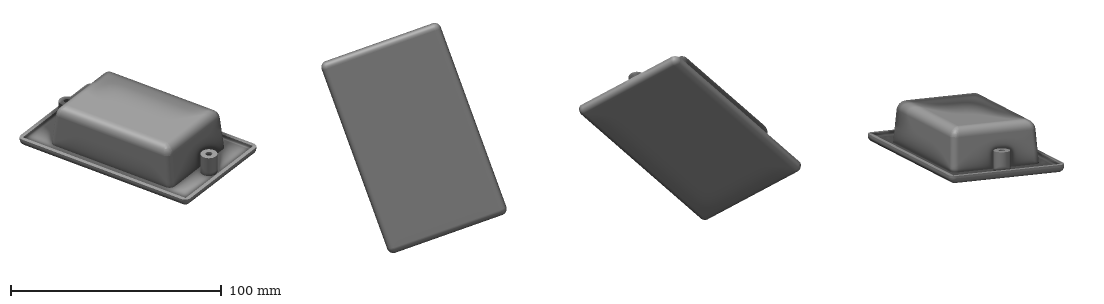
import cadquery as cq
import math

plate_length = 98.0
plate_width = 60.0
plate_thickness = 4.0
plate_corner_radius = 3.0
plate_bottom_radius = 2.9

rim_width = 2.0
tray_depth = 2.0
tray_floor_radius = 1.0

total_height = 23.0
dome_base_length = 70.4
dome_base_width = 46.1
dome_end_draft = 6.5
dome_side_draft = 3.3
dome_corner_radius = 3.0
dome_top_radius = 5.0

post_diameter = 8.0
post_top = 12.1
post_offset = 41.0
hole_diameter = 3.2
hole_depth = 8.0
drill_point_angle = 118.0

tray_floor = plate_thickness - tray_depth


def make_plate():
    """Rounded plate with a rectangular tray and a coved tray floor."""
    plate = (
        cq.Workplane("XY")
        .rect(plate_length, plate_width)
        .extrude(plate_thickness)
        .edges("|Z")
        .fillet(plate_corner_radius)
        .faces("<Z")
        .edges()
        .fillet(plate_bottom_radius)
    )
    tray = (
        cq.Workplane("XY", origin=(0, 0, tray_floor))
        .rect(plate_length - 2 * rim_width, plate_width - 2 * rim_width)
        .extrude(tray_depth)
        .faces("<Z")
        .edges()
        .fillet(tray_floor_radius)
    )
    return plate.cut(tray)


def make_tapered_prism(plane, base, draft, length):
    """Trapezoid on the tray floor, its sides leaning in by the draft, extruded about the center."""
    height = total_height - tray_floor
    inset = height * math.tan(math.radians(draft))
    half_base = base / 2
    half_top = half_base - inset
    return (
        cq.Workplane(plane)
        .moveTo(-half_base, tray_floor)
        .lineTo(half_base, tray_floor)
        .lineTo(half_top, total_height)
        .lineTo(-half_top, total_height)
        .close()
        .extrude(length / 2, both=True)
    )


def make_dome():
    """Block with different end and side drafts and rounded edges."""
    drafted_ends = make_tapered_prism("XZ", dome_base_length, dome_end_draft, dome_base_width)
    drafted_sides = make_tapered_prism("YZ", dome_base_width, dome_side_draft, dome_base_length)
    block = drafted_ends.intersect(drafted_sides)
    rounded = block.faces(">Z").edges().fillet(dome_top_radius)
    corner_edges = rounded.edges("not (#Z or <Z)")
    return corner_edges.fillet(dome_corner_radius)


def make_post(x):
    return (
        cq.Workplane("XY", origin=(x, 0, tray_floor))
        .circle(post_diameter / 2)
        .extrude(post_top - tray_floor)
    )


def make_screw_hole(x):
    """Blind drilled hole ending in a conical drill point."""
    radius = hole_diameter / 2
    bottom = post_top - hole_depth
    point_depth = radius / math.tan(math.radians(drill_point_angle / 2))
    return (
        cq.Workplane("XZ", origin=(x, 0, 0))
        .moveTo(0, post_top)
        .lineTo(radius, post_top)
        .lineTo(radius, bottom)
        .lineTo(0, bottom - point_depth)
        .close()
        .revolve(360, (0, 0, 0), (0, 1, 0))
    )


result = make_plate().union(make_dome())
for post_x in (-post_offset, post_offset):
    result = result.union(make_post(post_x)).cut(make_screw_hole(post_x))